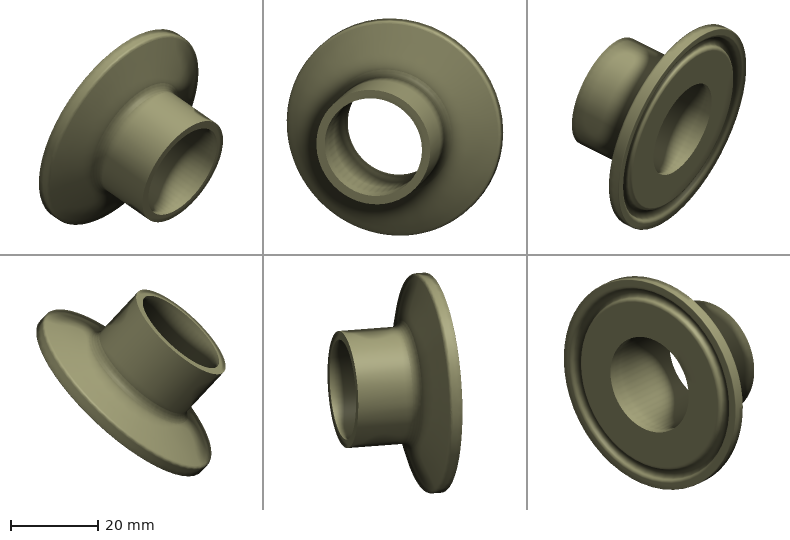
import cadquery as cq
import math

length = 21.5
flange_radius = 25.25
tube_radius = 13.45
bore_radius = 11.45

rim_thickness = 2.85
cone_angle = math.radians(70)
front_edge_round = 0.2
rim_back_round = 0.8
neck_round = 2.0

groove_mean_radius = 21.7
groove_half_width = 1.95
groove_lip_round = 0.8
groove_bottom_round = 1.1
groove_wall_angle = math.radians(70)


def revolve_about_x(profile):
    return profile.close().revolve(360, (0, 0, 0), (1, 0, 0))


def make_body():
    """Flange, cone and tube, with the three outer corners rounded."""
    cone_length = (flange_radius - tube_radius) / math.tan(cone_angle)
    neck_x = rim_thickness + cone_length
    body = revolve_about_x(
        cq.Workplane("XY")
        .moveTo(0, bore_radius)
        .lineTo(0, flange_radius)
        .lineTo(rim_thickness, flange_radius)
        .lineTo(neck_x, tube_radius)
        .lineTo(length, tube_radius)
        .lineTo(length, bore_radius)
    )
    corners = (
        (0, flange_radius, front_edge_round),
        (rim_thickness, flange_radius, rim_back_round),
        (neck_x, tube_radius, neck_round),
    )
    margin = 0.05
    for x, radius, rounding in corners:
        corner_edge = cq.selectors.BoxSelector(
            (x - margin, -radius - margin, -radius - margin),
            (x + margin, radius + margin, radius + margin),
            boundingbox=True,
        )
        body = body.edges(corner_edge).edges(cq.selectors.RadiusNthSelector(-1)).fillet(rounding)
    return body


def make_groove():
    """Ring with rounded lips, straight sloping walls and a round bottom."""
    sine = math.sin(groove_wall_angle)
    cosine = math.cos(groove_wall_angle)
    half_sine = math.sin(groove_wall_angle / 2)
    half_cosine = math.cos(groove_wall_angle / 2)

    lip_end_offset = groove_half_width - groove_lip_round * sine
    lip_end_depth = groove_lip_round * (1 - cosine)
    bottom_offset = groove_bottom_round * sine
    wall_depth = (lip_end_offset - bottom_offset) * math.tan(groove_wall_angle)
    bottom_start_depth = lip_end_depth + wall_depth
    groove_depth = bottom_start_depth + groove_bottom_round * (1 - cosine)

    lip_mid_offset = groove_half_width - groove_lip_round * half_sine
    lip_mid_depth = groove_lip_round * (1 - half_cosine)

    def point(depth, offset):
        return (depth, groove_mean_radius + offset)

    return revolve_about_x(
        cq.Workplane("XY")
        .moveTo(*point(0, groove_half_width))
        .threePointArc(point(lip_mid_depth, lip_mid_offset), point(lip_end_depth, lip_end_offset))
        .lineTo(*point(bottom_start_depth, bottom_offset))
        .threePointArc(point(groove_depth, 0), point(bottom_start_depth, -bottom_offset))
        .lineTo(*point(lip_end_depth, -lip_end_offset))
        .threePointArc(point(lip_mid_depth, -lip_mid_offset), point(0, -groove_half_width))
    )


result = make_body().cut(make_groove())